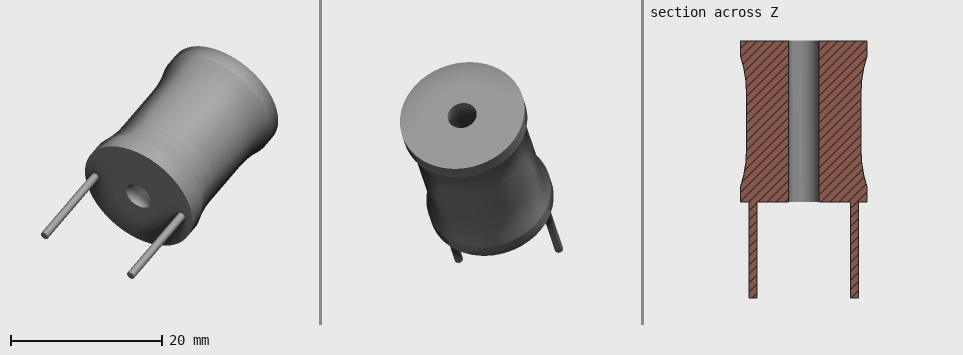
import cadquery as cq
import math

total_length = 34.05
lead_length = 12.7
body_length = total_length - lead_length

flange_diameter = 16.75
waist_diameter = 15.2
bore_diameter = 3.9
flange_thickness = 2.08
flare_length = 4.75

lead_diameter = 1.12
lead_spacing = 13.45


def flare_radius_at(distance):
    """Body radius at a distance from the waist, on an arc tangent to the waist."""
    rise = (flange_diameter - waist_diameter) / 2
    arc_radius = (flare_length**2 + rise**2) / (2 * rise)
    return waist_diameter / 2 + arc_radius - math.sqrt(arc_radius**2 - distance**2)


def make_body():
    """Revolve the waisted profile about Y, leaving the central bore open."""
    bore_radius = bore_diameter / 2
    flange_radius = flange_diameter / 2
    waist_radius = waist_diameter / 2
    front_flare = flange_thickness
    front_waist = front_flare + flare_length
    back_flare = body_length - flange_thickness
    back_waist = back_flare - flare_length
    mid_flare = flare_length / 2
    mid_radius = flare_radius_at(mid_flare)
    profile = (
        cq.Workplane("XY")
        .moveTo(bore_radius, 0)
        .lineTo(flange_radius, 0)
        .lineTo(flange_radius, front_flare)
        .threePointArc((mid_radius, front_waist - mid_flare), (waist_radius, front_waist))
        .lineTo(waist_radius, back_waist)
        .threePointArc((mid_radius, back_waist + mid_flare), (flange_radius, back_flare))
        .lineTo(flange_radius, body_length)
        .lineTo(bore_radius, body_length)
        .close()
    )
    return profile.revolve(360, (0, 0, 0), (0, 1, 0))


def make_leads():
    """Two round leads on the front face, either side of the bore."""
    return (
        cq.Workplane("XZ")
        .pushPoints([(-lead_spacing / 2, 0), (lead_spacing / 2, 0)])
        .circle(lead_diameter / 2)
        .extrude(lead_length)
    )


result = make_body().union(make_leads())